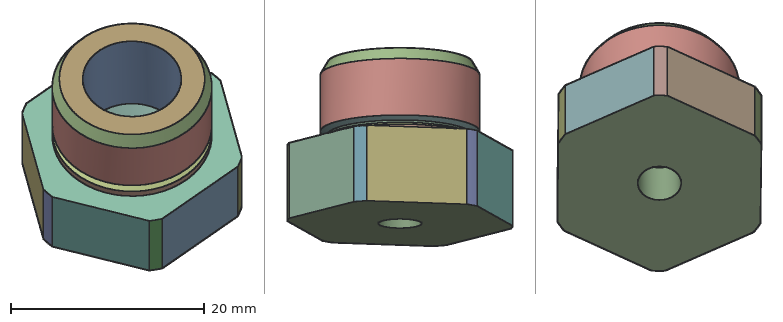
import cadquery as cq
import math

across_flats = 21.0
across_corners = 23.5
head_height = 8.0
total_height = 17.0

spigot_radius = 16.55 / 2
collar_height = 0.75
groove_radius = 15.09 / 2
groove_floor_width = 0.24
groove_lower_flank = 0.35
groove_upper_flank = 0.38
end_chamfer_radial = 0.75
end_chamfer_angle = 60.0

bore_radius = 10.2 / 2
through_radius = 4.5 / 2
bore_depth = 10.0
shoulder_angle = 59.0


def make_head():
    hexagon_diameter = across_flats / math.cos(math.radians(30))
    hexagon = cq.Workplane("XY").polygon(6, hexagon_diameter).extrude(head_height)
    blank = cq.Workplane("XY").circle(across_corners / 2).extrude(head_height)
    return hexagon.intersect(blank)


def make_spigot():
    collar_top = head_height + collar_height
    floor_bottom = collar_top + groove_lower_flank
    floor_top = floor_bottom + groove_floor_width
    groove_top = floor_top + groove_upper_flank
    chamfer_height = end_chamfer_radial * math.tan(math.radians(end_chamfer_angle))
    profile = [
        (0, 0),
        (spigot_radius, 0),
        (spigot_radius, collar_top),
        (groove_radius, floor_bottom),
        (groove_radius, floor_top),
        (spigot_radius, groove_top),
        (spigot_radius, total_height - chamfer_height),
        (spigot_radius - end_chamfer_radial, total_height),
        (0, total_height),
    ]
    return cq.Workplane("XZ").polyline(profile).close().revolve(360, (0, 0), (0, 1))


def make_bore():
    shoulder_top = total_height - bore_depth
    shoulder_height = (bore_radius - through_radius) / math.tan(math.radians(shoulder_angle))
    profile = [
        (0, 0),
        (through_radius, 0),
        (through_radius, shoulder_top - shoulder_height),
        (bore_radius, shoulder_top),
        (bore_radius, total_height),
        (0, total_height),
    ]
    return cq.Workplane("XZ").polyline(profile).close().revolve(360, (0, 0), (0, 1))


result = make_head().union(make_spigot()).cut(make_bore())